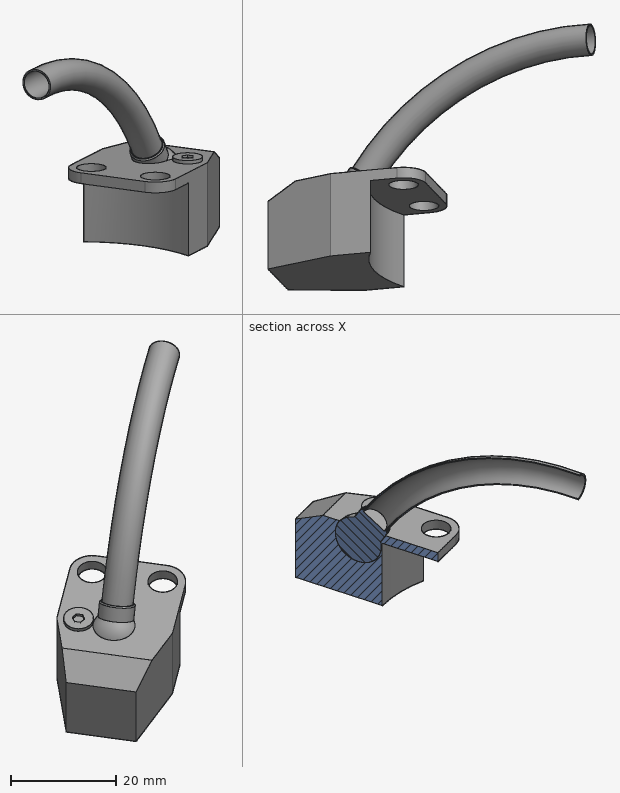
import cadquery as cq

block_width = 22.3
block_height = 16.4
rear_width = 13.5
rear_y = 13.75
flange_front_y = -17.45
wall_y = -7.9
wall_hollow = 2.6
flange_thickness = 2.1
slope_length = 6.0
slope_drop = 2.9
corner_radius = 4.35
mount_hole_diameter = 5.6

ball_radius = 5.0
ball_depth = 3.0
collar_radius = 3.4
collar_end = 6.4
collar_chamfer = 0.25
tube_radius = 3.0
bore_radius = 2.7
pipe_x = 0.1
bend_radius = 50.4
bend_angle = 60
tilt_angle = 32.7
twist_angle = -1.3

screw_x = 6.95
screw_diameter = 5.65
screw_height = 0.7
hex_across_corners = 2.35
hex_depth = 0.5


def make_swivel_pipe():
    """Build the pipe upright around the ball centre, then tilt it into place."""
    ball = cq.Workplane("XY").sphere(ball_radius)
    collar = (
        cq.Workplane("XY").circle(collar_radius).extrude(collar_end + collar_chamfer)
        .faces(">Z").chamfer(collar_chamfer)
    )

    def bend(radius):
        return (
            cq.Workplane("XY", origin=(0, 0, collar_end)).circle(radius)
            .revolve(bend_angle, (0, -bend_radius, 0), (1, -bend_radius, 0))
        )

    pipe = ball.union(collar).union(bend(tube_radius)).cut(bend(bore_radius))
    return (
        pipe.rotate((0, 0, 0), (0, 0, 1), twist_angle)
        .rotate((0, 0, 0), (1, 0, 0), tilt_angle)
        .translate((pipe_x, 0, block_height - ball_depth))
    )


def make_block(swivel_pipe):
    half_width = block_width / 2
    half_rear = rear_width / 2
    block = (
        cq.Workplane("XY")
        .moveTo(-half_width, flange_front_y)
        .lineTo(half_width, flange_front_y)
        .lineTo(half_width, 0)
        .lineTo(half_rear, rear_y)
        .lineTo(-half_rear, rear_y)
        .lineTo(-half_width, 0)
        .close()
        .extrude(block_height)
        .edges("|Z and <Y").fillet(corner_radius)
    )

    under_flange = (
        cq.Workplane("XY")
        .moveTo(-half_width, flange_front_y)
        .lineTo(half_width, flange_front_y)
        .lineTo(half_width, wall_y)
        .threePointArc((0, wall_y + wall_hollow), (-half_width, wall_y))
        .close()
        .extrude(block_height - flange_thickness)
    )

    rear_slope = (
        cq.Workplane("YZ")
        .moveTo(rear_y, block_height)
        .lineTo(rear_y - slope_length, block_height)
        .lineTo(rear_y, block_height - slope_drop)
        .close()
        .extrude(half_width, both=True)
    )

    hole_x = half_width - corner_radius
    hole_y = flange_front_y + corner_radius
    mount_holes = (
        cq.Workplane("XY")
        .pushPoints([(-hole_x, hole_y), (hole_x, hole_y)])
        .circle(mount_hole_diameter / 2)
        .extrude(block_height)
    )

    return block.cut(under_flange).cut(rear_slope).cut(mount_holes).cut(swivel_pipe)


def make_screw():
    head = (
        cq.Workplane("XY", origin=(screw_x, 0, block_height))
        .circle(screw_diameter / 2).extrude(screw_height)
    )
    hex_socket = (
        cq.Workplane("XY", origin=(screw_x, 0, block_height + screw_height))
        .polygon(6, hex_across_corners).extrude(-hex_depth)
    )
    return head.cut(hex_socket)


swivel_pipe = make_swivel_pipe()
block = make_block(swivel_pipe)
screw = make_screw()

result = cq.Compound.makeCompound([block.val(), swivel_pipe.val(), screw.val()])